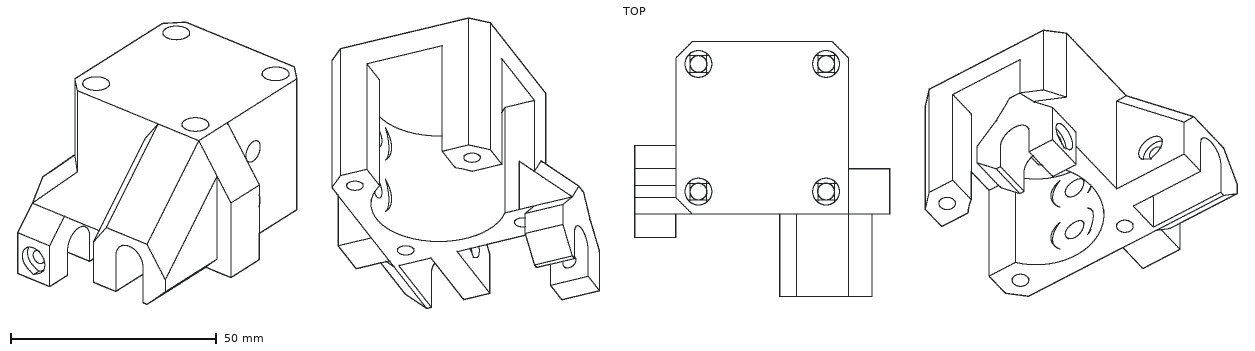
import cadquery as cq
import math

overall = 62.0
body_side = 42.0
body_height = 37.0
corner_chamfer = 4.0

cavity_radius = 16.5
top_plate = 6.25
window_width = 19.95
bolt_wall = 5.0
bolt_diameter = 5.5
bolt_seat_diameter = 12.6
bolt_heights = (9.3, 24.3)

screw_spacing = 31.0
screw_diameter = 4.0
screw_head_diameter = 6.5
screw_floor = 4.95
bridge_step = 0.2

slot_width = 8.5
crown_width = 11.05
clamp_bevel = 5.7
roof_run = 4.0
roof_rise = 5.6
arm_slot_height = 10.1
hanger_drop = 17.25
hanger_slot_height = 7.2
clamp_screw_diameter = 3.5
clamp_head_diameter = 7.0
clamp_head_depth = 2.0
clamp_tip_half_angle = 60.0
clamp_screw_drop = 1.6

stop_lift = 2.05

half = body_side / 2
arm_length = overall - body_side
side_reach = arm_length / 2
clamp_width = crown_width + 2 * clamp_bevel
roof_slope = roof_rise / roof_run
ceiling = body_height - top_plate
front = -half
back = half


def box(x_range, y_range, z_range):
    """Axis-aligned box between the given limits."""
    (x0, x1), (y0, y1), (z0, z1) = x_range, y_range, z_range
    return cq.Workplane("XY").box(x1 - x0, y1 - y0, z1 - z0, centered=False).translate((x0, y0, z0))


def prism(points, direction):
    """Planar outline pushed along a direction, which may be oblique to its plane."""
    wire = cq.Wire.makePolygon([cq.Vector(*p) for p in points], close=True)
    return cq.Workplane(obj=cq.Solid.extrudeLinear(wire, [], cq.Vector(*direction)))


def rod(radius, start, direction, length):
    """Cylinder along a direction."""
    return cq.Workplane(obj=cq.Solid.makeCylinder(radius, length, cq.Vector(*start), cq.Vector(*direction)))


def body():
    """Square block with a round cavity open below, and windows to -X and +Y."""
    block = box((-half, half), (-half, half), (0, body_height))
    for corner in ("<X and <Y", "<X and >Y", ">X and >Y"):
        block = block.edges("|Z").edges(corner).chamfer(corner_chamfer)
    cavity = rod(cavity_radius, (0, 0, 0), (0, 0, 1), ceiling)
    half_window = window_width / 2
    side_window = box((-half, 0), (-half_window, half_window), (0, ceiling))
    back_window = box((-half_window, half_window), (0, back), (0, ceiling))
    return block.cut(cavity).cut(side_window).cut(back_window)


def wall_bolts():
    """Bolt holes through the +X wall, each with a flat seat sunk into the cavity surface."""
    cut = cq.Workplane()
    for z in bolt_heights:
        cut = cut.add(rod(bolt_diameter / 2, (0, 0, z), (1, 0, 0), half))
        cut = cut.add(rod(bolt_seat_diameter / 2, (0, 0, z), (1, 0, 0), half - bolt_wall))
    return cut.combine()


def corner_screw():
    """Screw hole with a deep head bore whose floor steps down to the hole: a cross, then a square."""
    bore_depth = body_height - screw_floor
    hole = rod(screw_diameter / 2, (0, 0, 0), (0, 0, 1), body_height)
    bore = rod(screw_head_diameter / 2, (0, 0, screw_floor), (0, 0, 1), bore_depth)
    cross_zone = rod(screw_head_diameter / 2, (0, 0, screw_floor - bridge_step), (0, 0, 1), bore_depth)
    floor_steps = 2
    step_height = 2 * floor_steps * bridge_step

    def step(size_x, size_y):
        return cq.Workplane("XY").box(size_x, size_y, step_height).translate((0, 0, screw_floor))

    bars = step(screw_head_diameter, screw_diameter).union(step(screw_diameter, screw_head_diameter))
    square = step(screw_diameter, screw_diameter)
    return hole.union(bore).union(bars.intersect(cross_zone)).union(square)


def clamp_screw():
    """Cutter along +X from the origin: a screw hole with a round head recess pointed at the bottom."""
    reach = clamp_width / 2
    hole = rod(clamp_screw_diameter / 2, (0, 0, 0), (1, 0, 0), reach)
    radius = clamp_head_diameter / 2
    tip_angle = math.radians(clamp_tip_half_angle)
    tangent_y = radius * math.cos(tip_angle)
    tangent_z = -radius * math.sin(tip_angle)
    tip_z = -radius / math.sin(tip_angle)
    point = [(0, 0, 0), (0, tangent_y, tangent_z), (0, 0, tip_z), (0, -tangent_y, tangent_z)]
    recess = rod(radius, (0, 0, 0), (1, 0, 0), clamp_head_depth)
    return hole.union(recess).union(prism(point, (clamp_head_depth, 0, 0)))


def rod_slot(length):
    """Cutter along +Y from the origin: a downward-open slot with a round top on the Y axis."""
    radius = slot_width / 2
    channel = box((-radius, radius), (0, length), (-body_height, 0))
    return rod(radius, (0, 0, 0), (0, 1, 0), length).union(channel)


def front_arm():
    """Arm at the -Y face: a roof climbing at 45 degrees to the top edge, above a rod slot."""
    tip = front - arm_length
    right = half + clamp_bevel
    left = right - clamp_width
    crown = body_height - arm_length
    roof = prism(
        [
            (left, tip, -arm_length),
            (left, tip, crown - roof_rise),
            (left + roof_run, tip, crown),
            (half, tip, crown),
            (right, tip, crown - clamp_bevel * roof_slope),
            (right, tip, -arm_length),
        ],
        (0, arm_length, arm_length),
    )
    envelope = prism(
        [
            (left, tip, 0),
            (left, tip, body_height),
            (right, tip, body_height),
            (right, tip, clamp_bevel),
            (half, tip, 0),
        ],
        (0, arm_length, 0),
    )
    slot = rod_slot(arm_length).translate((left + clamp_width / 2, tip, arm_slot_height))
    screw = clamp_screw().translate((left, front - side_reach, arm_slot_height - clamp_screw_drop))
    return roof.intersect(envelope).cut(slot).cut(screw)


def side_clamp():
    """Clamp hanging beyond the -X face, joined to the body by a roof climbing at 45 degrees."""
    outer = -half - side_reach
    inner = front + crown_width
    near = front - clamp_bevel
    far = inner + clamp_bevel
    bottom = -hanger_drop
    climb = side_reach + corner_chamfer
    hanger = prism(
        [
            (outer, front, 0),
            (outer, near, -clamp_bevel),
            (outer, near, bottom),
            (outer, inner, bottom),
            (outer, far, bottom + clamp_bevel),
            (outer, far, -clamp_bevel),
            (outer, inner, 0),
        ],
        (side_reach, 0, 0),
    )
    roof = prism(
        [
            (outer, front, -climb),
            (outer, front, 0),
            (outer, front + roof_run, roof_rise),
            (outer, inner - roof_run, roof_rise),
            (outer, inner, 0),
            (outer, inner, -climb),
        ],
        (climb, 0, climb),
    )
    above_bottom = box((outer, outer + climb), (front, inner), (0, body_height))
    slot_z = bottom + hanger_slot_height
    middle = front + crown_width / 2
    slot = rod_slot(side_reach).rotate((0, 0, 0), (0, 0, 1), -90).translate((outer, middle, slot_z))
    screw = clamp_screw().rotate((0, 0, 0), (0, 0, 1), 90)
    screw = screw.translate((outer + side_reach / 2, near, slot_z - clamp_screw_drop))
    return hanger.cut(slot).cut(screw).union(roof.intersect(above_bottom))


def stop_block():
    """Stop beyond the +X face, its sloped top level with the right roof slope of the front arm."""
    outer = half + side_reach
    return prism(
        [
            (half, front, stop_lift),
            (outer, front, stop_lift),
            (outer, front, body_height - side_reach * roof_slope),
            (half, front, body_height),
        ],
        (0, crown_width, 0),
    )


result = body().union(front_arm()).union(side_clamp()).union(stop_block()).cut(wall_bolts())
for x_side in (-1, 1):
    for y_side in (-1, 1):
        place = (x_side * screw_spacing / 2, y_side * screw_spacing / 2, 0)
        result = result.cut(corner_screw().translate(place))